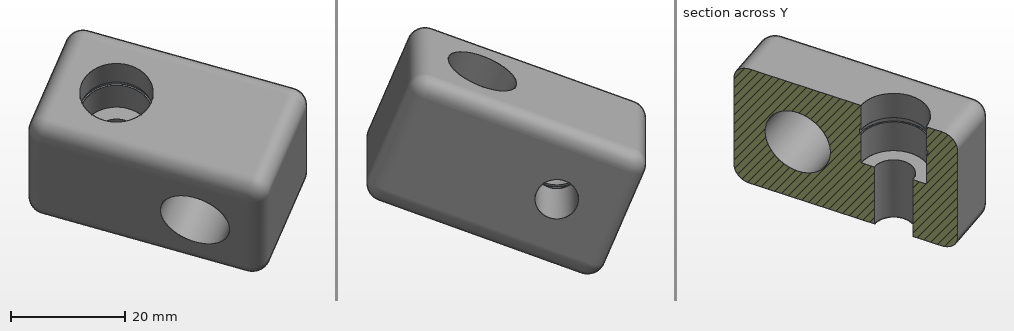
import cadquery as cq

length = 44.45
side = 25.4
edge_radius = 3.15

bore_diameter = 12.85
bore_offset = 9.5

bore_depth = side / 2
through_diameter = 7.6
groove_diameter = 13.45
groove_depth = 5.4
groove_width = 1.0


def vertical_cylinder(diameter, depth, height):
    """Cylinder on the vertical bore axis, starting at a depth below the top face."""
    return (
        cq.Workplane("XY", origin=(-bore_offset, 0, side / 2 - depth))
        .circle(diameter / 2)
        .extrude(-height)
    )


block = cq.Workplane("XY").box(length, side, side).edges().fillet(edge_radius)

cross_bore = (
    cq.Workplane("XZ")
    .center(bore_offset, 0)
    .circle(bore_diameter / 2)
    .extrude(side / 2, both=True)
)

result = (
    block.cut(cross_bore)
    .cut(vertical_cylinder(bore_diameter, 0, bore_depth))
    .cut(vertical_cylinder(groove_diameter, groove_depth, groove_width))
    .cut(vertical_cylinder(through_diameter, 0, side))
)